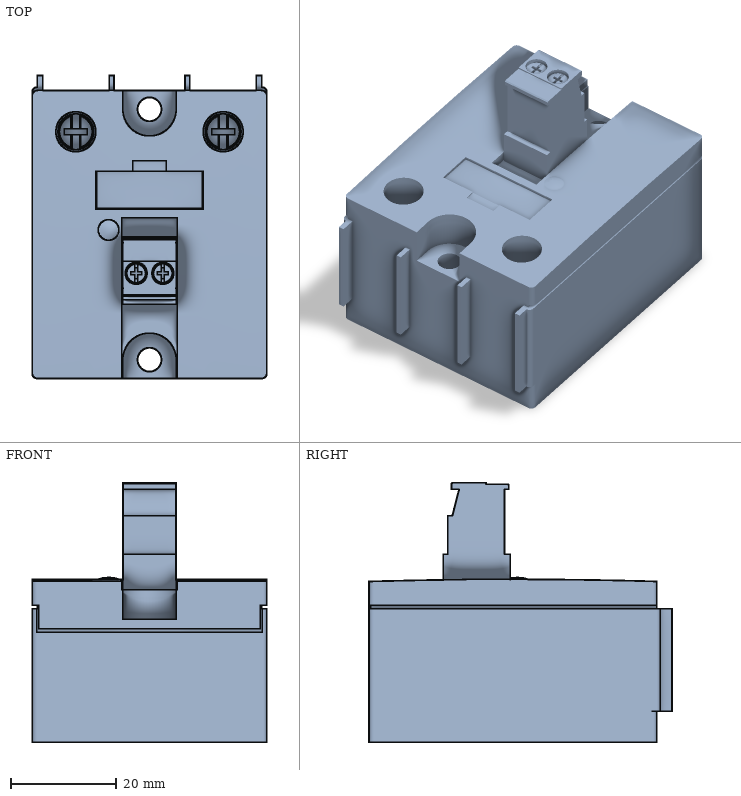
import cadquery as cq
import math

width = 44.6
depth = 54.7
fin_reach = 2.9
front_y = -(depth + fin_reach) / 2
back_y = front_y + depth
half_width = width / 2
edge_height = 30.6
crown_height = 31.0
corner_radius = 0.9

groove_height = 0.65
groove_depth = 1.0
side_groove_z = 25.4
front_groove_z = 20.9
front_groove_depth = 0.35
cover_panel_half_width = 21.1
panel_gap = 0.35

mount_inset = 3.6
mount_floor_z = 23.4
mount_recess_radius = 5.05
mount_hole_radius = 2.25

channel_width = 10.55
channel_length = 30.5
channel_floor_z = 29.0

well_x = 14.0
well_inset = 7.85
well_radius = 3.8
well_floor_z = 22.25
screw_head_top_z = 23.4
screw_head_radius = 3.4
screw_head_chamfer = 0.3
long_slot_top_width = 1.85
long_slot_floor_width = 1.45
long_slot_depth = 0.45
short_slot_length = 4.3
short_slot_width = 1.1
short_slot_depth = 0.8

label_width = 20.5
label_length = 7.2
label_front = 32.15
label_depth = 0.6
label_plate_gap = 0.25
label_plate_height = 0.2
notch_width = 6.35
notch_length = 2.0
notch_depth = 0.3

lens_x = -7.8
lens_y = front_y + 28.2
lens_radius = 1.95
lens_rise = 0.35

plug_width = 10.15
plug_top_z = 49.35
plug_step_z = 49.1
plug_lip_z = 48.05
plug_lip_chamfer = 0.25
plug_shoulder_z = 43.1
plug_foot_z = 35.75
plug_foot_front = 14.1
plug_shaft_front = 15.0
plug_slope_bottom = 15.85
plug_slope_top = 17.1
plug_lip_front = 15.65
plug_step_y = 22.3
plug_shaft_back = 25.8
plug_lip_back = 26.6
plug_foot_back = 26.9

plug_screw_x = 2.55
plug_screw_y = front_y + 20.0
plug_screw_well_radius = 2.1
plug_screw_well_depth = 0.9
plug_well_floor_z = plug_top_z - plug_screw_well_depth
plug_screw_radius = 1.8
plug_screw_height = 0.3
plug_slot_width = 0.6
plug_cross_length = 2.15
plug_slot_depth = 0.25
plug_cross_depth = 0.7

fin_bottom_z = 5.9
inner_fin_x = 7.2
inner_fin_width = 1.0
outer_fin_inner_x = 20.3
shoulder_offset = 0.3
flange_length = 1.15


def box(x_min, x_max, y_min, y_max, z_min, z_max):
    size = (x_max - x_min, y_max - y_min, z_max - z_min)
    return cq.Workplane("XY").box(*size, centered=False).translate((x_min, y_min, z_min))


def centred_box(x, y, length_x, length_y, z_min, z_max):
    return box(x - length_x / 2, x + length_x / 2, y - length_y / 2, y + length_y / 2, z_min, z_max)


def cylinder(x, y, radius, z_min, z_max):
    return cq.Workplane("XY").circle(radius).extrude(z_max - z_min).translate((x, y, z_min))


def housing():
    """Block with rounded corners and a top that is slightly crowned along Y."""
    side = (
        cq.Workplane("YZ")
        .moveTo(front_y, 0)
        .lineTo(back_y, 0)
        .lineTo(back_y, edge_height)
        .threePointArc(((front_y + back_y) / 2, crown_height), (front_y, edge_height))
        .close()
    )
    block = side.extrude(half_width, both=True)
    return block.edges("|Z").fillet(corner_radius)


def front_panel(half_panel, bottom_z, top_z):
    """Thin slab just behind the front face, centred on X."""
    return box(-half_panel, half_panel, front_y, front_y + front_groove_depth, bottom_z, top_z)


def parting_groove():
    """Groove along both sides that drops around the cover's front panel."""
    groove_top = side_groove_z + groove_height
    groove = front_panel(cover_panel_half_width + panel_gap, front_groove_z, groove_top)
    groove = groove.cut(front_panel(cover_panel_half_width, front_groove_z + groove_height, groove_top))
    middle_y = (front_y + back_y) / 2
    for side in (-1, 1):
        side_x = side * (half_width - groove_depth / 2)
        groove = groove.union(centred_box(side_x, middle_y, groove_depth, depth, side_groove_z, groove_top))
    return groove


def mount_cut(hole_y, end_y):
    """Round-ended recess open to one end, with a hole through its floor."""
    recess = cylinder(0, hole_y, mount_recess_radius, mount_floor_z, crown_height)
    mouth = box(
        -mount_recess_radius,
        mount_recess_radius,
        min(hole_y, end_y),
        max(hole_y, end_y),
        mount_floor_z,
        crown_height,
    )
    hole = cylinder(0, hole_y, mount_hole_radius, 0, mount_floor_z)
    return recess.union(mouth).union(hole)


def terminal_screw(x, y):
    """Chamfered screw head with a shallow sloped-wall long slot and a deeper short slot."""
    head = cylinder(x, y, screw_head_radius, well_floor_z, screw_head_top_z)
    head = head.faces(">Z").chamfer(screw_head_chamfer)
    half_top = long_slot_top_width / 2
    half_floor = long_slot_floor_width / 2
    slot_floor_z = screw_head_top_z - long_slot_depth
    slot_section = [
        (-half_top, screw_head_top_z),
        (-half_floor, slot_floor_z),
        (half_floor, slot_floor_z),
        (half_top, screw_head_top_z),
    ]
    long_slot = cq.Workplane("XZ").polyline(slot_section).close().extrude(screw_head_radius, both=True)
    long_slot = long_slot.translate((x, y, 0))
    short_slot = centred_box(
        x, y, short_slot_length, short_slot_width, screw_head_top_z - short_slot_depth, screw_head_top_z
    )
    return head.cut(long_slot).cut(short_slot)


def label_cut():
    """Shallow recess with a plate set against its back wall, and the notch behind it."""
    recess_front = front_y + label_front
    recess_back = recess_front + label_length
    floor_z = crown_height - label_depth
    half_label = label_width / 2
    recess = box(-half_label, half_label, recess_front, recess_back, floor_z, crown_height)
    half_plate = half_label - label_plate_gap
    plate = box(
        -half_plate,
        half_plate,
        recess_front + label_plate_gap,
        recess_back,
        floor_z,
        floor_z + label_plate_height,
    )
    notch = box(
        -notch_width / 2,
        notch_width / 2,
        recess_back,
        recess_back + notch_length,
        crown_height - notch_depth,
        crown_height,
    )
    return recess.cut(plate).union(notch)


def channel_cut():
    """Shallow channel from the front face to behind the plug-in terminal."""
    middle_y = front_y + channel_length / 2
    return centred_box(0, middle_y, channel_width, channel_length, channel_floor_z, crown_height)


def lens():
    """Low spherical cap on a short stem sunk into the top."""
    sphere_radius = (lens_radius**2 + lens_rise**2) / (2 * lens_rise)
    lens_top_z = crown_height + lens_rise
    stem = cylinder(lens_x, lens_y, lens_radius, crown_height - lens_rise, lens_top_z)
    sphere = cq.Workplane("XY").sphere(sphere_radius)
    return stem.intersect(sphere.translate((lens_x, lens_y, lens_top_z - sphere_radius)))


def plug():
    """Stepped terminal tower, extruded across X from its side profile."""
    profile = [
        (plug_foot_front, channel_floor_z),
        (plug_foot_front, plug_foot_z),
        (plug_shaft_front, plug_foot_z),
        (plug_shaft_front, plug_shoulder_z),
        (plug_slope_bottom, plug_shoulder_z),
        (plug_slope_top, plug_lip_z),
        (plug_lip_front, plug_lip_z),
        (plug_lip_front, plug_top_z - plug_lip_chamfer),
        (plug_lip_front + plug_lip_chamfer, plug_top_z),
        (plug_step_y, plug_top_z),
        (plug_step_y, plug_step_z),
        (plug_lip_back - plug_lip_chamfer, plug_step_z),
        (plug_lip_back, plug_step_z - plug_lip_chamfer),
        (plug_lip_back, plug_lip_z),
        (plug_shaft_back, plug_lip_z),
        (plug_shaft_back, plug_foot_z),
        (plug_foot_back, plug_foot_z),
        (plug_foot_back, channel_floor_z),
    ]
    tower = cq.Workplane("YZ").polyline(profile).close().extrude(plug_width / 2, both=True)
    tower = tower.translate((0, front_y, 0))
    for x in (-plug_screw_x, plug_screw_x):
        tower = tower.cut(cylinder(x, plug_screw_y, plug_screw_well_radius, plug_well_floor_z, plug_top_z))
        tower = tower.union(plug_screw(x, plug_screw_y)).cut(plug_screw_cross(x, plug_screw_y))
    return tower


def plug_screw(x, y):
    """Screw head with one shallow slot across its full width."""
    head_top_z = plug_well_floor_z + plug_screw_height
    head = cylinder(x, y, plug_screw_radius, plug_well_floor_z, head_top_z)
    slot_bottom_z = head_top_z - plug_slot_depth
    return head.cut(centred_box(x, y, plug_slot_width, 2 * plug_screw_radius, slot_bottom_z, head_top_z))


def plug_screw_cross(x, y):
    """Deeper cross recess in the middle of a screw head."""
    top_z = plug_well_floor_z + plug_screw_height
    bottom_z = top_z - plug_cross_depth
    along_x = centred_box(x, y, plug_cross_length, plug_slot_width, bottom_z, top_z)
    along_y = centred_box(x, y, plug_slot_width, plug_cross_length, bottom_z, top_z)
    return along_x.union(along_y)


def outer_fin(side):
    """Fin at a back corner, joined to the side wall by a rounded shoulder."""
    root_y = back_y - flange_length
    shoulder_y = back_y - shoulder_offset
    fin_outer_x = half_width - corner_radius
    arc_step = corner_radius * math.sqrt(0.5)
    return (
        cq.Workplane("XY")
        .moveTo(side * outer_fin_inner_x, root_y)
        .lineTo(side * half_width, root_y)
        .lineTo(side * half_width, shoulder_y)
        .threePointArc(
            (side * (fin_outer_x + arc_step), shoulder_y + arc_step),
            (side * fin_outer_x, shoulder_y + corner_radius),
        )
        .lineTo(side * fin_outer_x, back_y + fin_reach)
        .lineTo(side * outer_fin_inner_x, back_y + fin_reach)
        .close()
        .extrude(side_groove_z - fin_bottom_z)
        .translate((0, 0, fin_bottom_z))
    )


def inner_fin(side):
    """Plain fin standing on the back face."""
    middle_y = back_y + fin_reach / 2
    return centred_box(side * inner_fin_x, middle_y, inner_fin_width, fin_reach, fin_bottom_z, side_groove_z)


body = housing().cut(parting_groove())
body = body.cut(mount_cut(front_y + mount_inset, front_y))
body = body.cut(mount_cut(back_y - mount_inset, back_y))
body = body.cut(channel_cut())
body = body.cut(label_cut())
well_y = back_y - well_inset
for side in (-1, 1):
    body = body.cut(cylinder(side * well_x, well_y, well_radius, well_floor_z, crown_height))
    body = body.union(terminal_screw(side * well_x, well_y))
    body = body.union(inner_fin(side)).union(outer_fin(side))

result = body.union(lens()).union(plug())